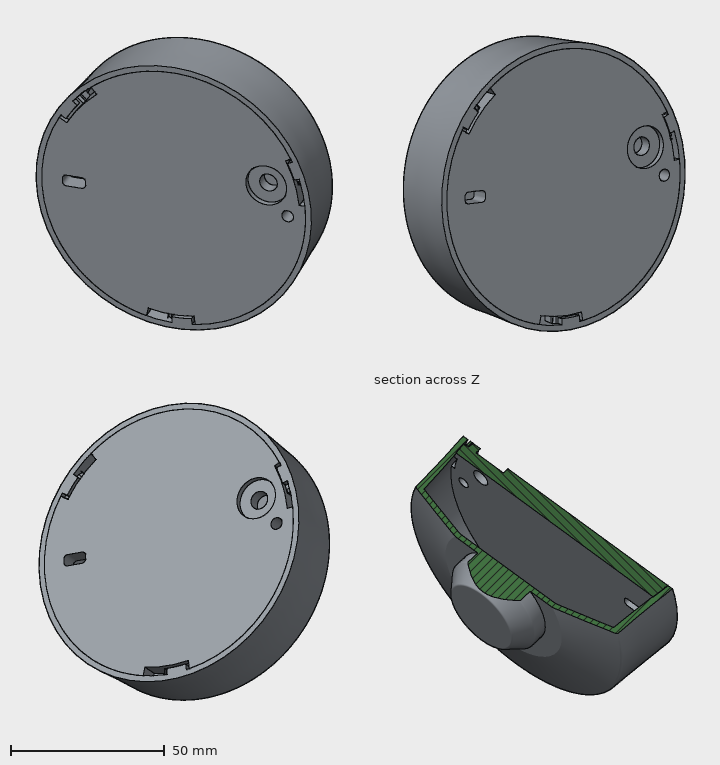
import cadquery as cq
import math


rim_radius = 47.5
shoulder_radius = 45.9
shoulder_y = 25.4
top_radius = 25.2
top_y = 31.4
shoulder_fillet = 0.95
wall = 2.0

knob_radius = 18.0
knob_bevel_y = 36.4
knob_end_radius = 13.3
knob_end_y = 42.5
knob_fillet = 0.8

bore_radius = rim_radius - wall
bore_end_radius = 43.3
bore_end_y = 24.0
bore_slope = (bore_radius - bore_end_radius) / bore_end_y
cone_slope = (top_y - shoulder_y) / (shoulder_radius - top_radius)
cavity_top_y = top_y - wall
cavity_top_radius = bore_end_radius - (cavity_top_y - bore_end_y) / cone_slope

plate_thickness = 6.65
counterbore_x = 31.9
counterbore_z = 10.0
counterbore_radius = 7.0
counterbore_depth = 2.2
cable_hole_radius = 3.0
screw_x = 39.3
screw_hole_radius = 2.0
slot_x = -34.4
slot_length = 8.0
slot_width = 3.9
slot_corner = 1.4

locks = [
    (279.5, 42.6, 43.4, 10.3),
    (150.2, 42.5, 43.4, 10.3),
    (27.4, 43.5, 43.7, 9.3),
]
tab_start = 1.4
ledge_end = 11.4
ramp_end = 13.1
lock_end = 21.4

tab_depth = 2.2
ramp_foot_y = 3.2


def revolved(points):
    """Solid of revolution about the Y axis from (radius, y) points."""
    outline = [(y, radius) for radius, y in points]
    return cq.Workplane("YZ").polyline(outline).close().revolve(360, (0, 0, 0), (1, 0, 0))


def round_circle(body, y, radius):
    """Fillet the circular edge that lies at height y along the axis."""
    near = 0.01
    circle = cq.selectors.BoxSelector((-near, y - near, -near), (near, y + near, near))
    return body.edges(circle).fillet(radius)


def front_plane():
    """Workplane on the rim, drawn in X and Z. Negative extrusions go into the part, towards +Y."""
    return cq.Workplane("XZ")


def at_angle(radius, degrees):
    """Point in the rim plane at a polar position."""
    turn = math.radians(degrees)
    return (radius * math.cos(turn), radius * math.sin(turn))


def ring_sector(inner, outer, start, end, depth):
    """Block between two radii and two angles, from the rim plane to `depth`."""
    middle = (start + end) / 2
    return (
        front_plane()
        .moveTo(*at_angle(inner, start))
        .threePointArc(at_angle(inner, middle), at_angle(inner, end))
        .lineTo(*at_angle(outer, end))
        .threePointArc(at_angle(outer, middle), at_angle(outer, start))
        .close()
        .extrude(-depth)
    )


def bore_cone(depth):
    """Tapered plug that fills the bore from the rim to `depth`."""
    end_radius = bore_radius - bore_slope * depth
    return revolved([(0, 0), (bore_radius, 0), (end_radius, depth), (0, depth)])


def make_housing():
    outside = revolved([
        (0, 0),
        (rim_radius, 0),
        (shoulder_radius, shoulder_y),
        (top_radius, top_y),
        (knob_radius, top_y),
        (knob_radius, knob_bevel_y),
        (knob_end_radius, knob_end_y),
        (0, knob_end_y),
    ])
    outside = round_circle(outside, shoulder_y, shoulder_fillet)
    outside = round_circle(outside, knob_bevel_y, knob_fillet)
    outside = round_circle(outside, knob_end_y, knob_fillet)
    cavity = revolved([
        (0, 0),
        (bore_radius, 0),
        (bore_end_radius, bore_end_y),
        (cavity_top_radius, cavity_top_y),
        (0, cavity_top_y),
    ])
    housing = outside.cut(cavity)
    for start, _, tab_radius, tab_end in locks:
        tab = ring_sector(
            tab_radius, bore_radius + wall / 2, start - tab_start, start - tab_end, tab_depth
        )
        housing = housing.union(tab)
    return housing


def lock_recess(start, inner_radius):
    """Cut for one lock: shallow over the ledge, sloped at its end, then open through the plate."""
    outer = rim_radius
    ledge = ring_sector(inner_radius, outer, start, start - lock_end, tab_depth)
    opening = ring_sector(
        inner_radius, outer, start - ramp_end, start - lock_end, plate_thickness
    )
    ramp_length = inner_radius * math.radians(ramp_end - ledge_end)
    ramp = (
        cq.Workplane("XY", origin=(0, 0, inner_radius))
        .polyline([(0, tab_depth), (ramp_length, tab_depth), (ramp_length, ramp_foot_y)])
        .close()
        .extrude(outer - inner_radius)
        .rotate((0, 0, 0), (0, 1, 0), 90 - (start - ledge_end))
    )
    return ledge.union(opening).union(ramp)


def make_base_plate():
    plate = bore_cone(plate_thickness)
    counterbore = (
        front_plane().center(counterbore_x, counterbore_z).circle(counterbore_radius)
        .extrude(-counterbore_depth)
    )
    cable_hole = (
        front_plane().center(counterbore_x, counterbore_z).circle(cable_hole_radius)
        .extrude(-plate_thickness)
    )
    screw_hole = front_plane().center(screw_x, 0).circle(screw_hole_radius).extrude(-plate_thickness)
    screw_slot = (
        front_plane().center(slot_x, 0).rect(slot_length, slot_width).extrude(-plate_thickness)
        .edges("|Y").fillet(slot_corner)
    )
    plate = plate.cut(counterbore).cut(cable_hole).cut(screw_hole).cut(screw_slot)
    for start, recess_radius, _, _ in locks:
        plate = plate.cut(lock_recess(start, recess_radius))
    return plate


housing = make_housing()
base_plate = make_base_plate()

result = cq.Compound.makeCompound([housing.solids().val(), base_plate.solids().val()])